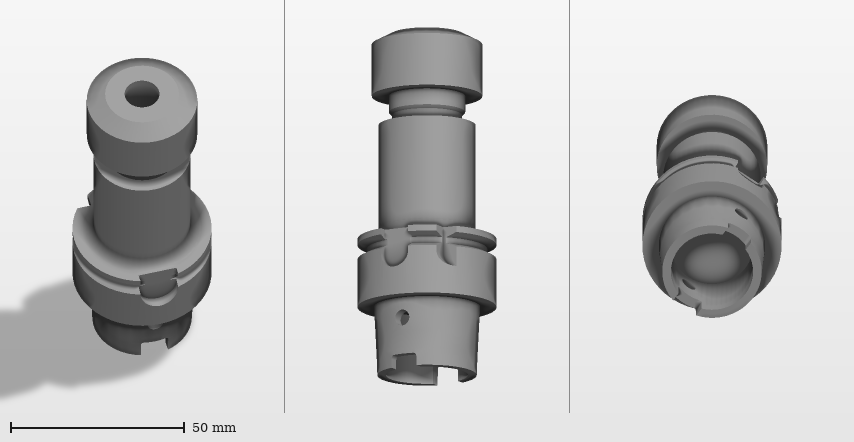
import cadquery as cq

total_height = 100.0

shank_height = 20.0
shank_bottom_radius = 14.3
shank_top_radius = 15.3
shank_bore_radius = 11.8
cross_hole_diameter = 4.6
cross_hole_z = 14.1
drive_slot_width = 8.1
left_drive_slot_height = 3.6
right_drive_slot_height = 6.0
drive_slot_corner_radius = 1.0

flange_radius = 20.0
flange_top_z = 40.0
groove_floor_radius = 17.4
groove_bottom_z = 34.0
groove_floor_bottom_z = 35.3
groove_floor_top_z = 37.0
groove_top_z = 38.2

notch_bottom_z = 28.2
side_notch_floor_x = 17.0
left_notch_width = 8.9
right_notch_width = 11.2
corner_notch_wall_x = -11.9
corner_notch_wall_y = -11.9
corner_notch_radius = 4.2

body_radius = 14.0
body_top_z = 73.4
body_fillet_radius = 3.0
lower_neck_radius = 10.1
upper_neck_radius = 11.0
neck_chamfer_height = upper_neck_radius - lower_neck_radius
neck_step_z = 76.4
nut_radius = 15.9
nut_bottom_z = 82.0
nut_cone_z = 97.2
nut_face_radius = 10.6
nut_bore_radius = 5.0
nut_bore_depth = 20.0


def turned_body():
    """Revolve the outer half profile about the Z axis."""
    fillet_outer_radius = body_radius + body_fillet_radius
    fillet_top_z = flange_top_z + body_fillet_radius
    profile = (
        cq.Workplane("XZ")
        .lineTo(shank_bottom_radius, 0)
        .lineTo(shank_top_radius, shank_height)
        .lineTo(flange_radius, shank_height)
        .lineTo(flange_radius, groove_bottom_z)
        .lineTo(groove_floor_radius, groove_floor_bottom_z)
        .lineTo(groove_floor_radius, groove_floor_top_z)
        .lineTo(flange_radius, groove_top_z)
        .lineTo(flange_radius, flange_top_z)
        .lineTo(fillet_outer_radius, flange_top_z)
        .radiusArc((body_radius, fillet_top_z), body_fillet_radius)
        .lineTo(body_radius, body_top_z)
        .lineTo(lower_neck_radius, body_top_z)
        .lineTo(lower_neck_radius, neck_step_z)
        .lineTo(upper_neck_radius, neck_step_z + neck_chamfer_height)
        .lineTo(upper_neck_radius, nut_bottom_z)
        .lineTo(nut_radius, nut_bottom_z)
        .lineTo(nut_radius, nut_cone_z)
        .lineTo(nut_face_radius, total_height)
        .lineTo(0, total_height)
        .close()
    )
    return profile.revolve(360, (0, 0, 0), (0, 1, 0))


def vertical_bore(radius, start_z, depth):
    return cq.Workplane("XY").workplane(offset=start_z).circle(radius).extrude(depth)


def round_bottom_notch(start_x, end_x, center_y, width):
    """Notch running along X with a half-round bottom, open at the flange top."""
    radius = width / 2
    arc_center_z = notch_bottom_z + radius
    outline = (
        cq.Workplane("YZ")
        .workplane(offset=start_x)
        .moveTo(center_y - radius, flange_top_z)
        .lineTo(center_y - radius, arc_center_z)
        .threePointArc((center_y, notch_bottom_z), (center_y + radius, arc_center_z))
        .lineTo(center_y + radius, flange_top_z)
        .close()
    )
    return outline.extrude(end_x - start_x)


def drive_slot(side, height):
    """Slot in the shank end from the axis outward; side is -1 or +1 along X."""
    slot = cq.Workplane("XY").box(flange_radius, drive_slot_width, height, centered=(True, True, False))
    slot = slot.edges("|X and >Z").fillet(drive_slot_corner_radius)
    return slot.translate((side * flange_radius / 2, 0, 0))


def cross_hole():
    return (
        cq.Workplane("YZ")
        .center(0, cross_hole_z)
        .circle(cross_hole_diameter / 2)
        .extrude(flange_radius, both=True)
    )


corner_notch_center_y = corner_notch_wall_y - corner_notch_radius

result = (
    turned_body()
    .cut(vertical_bore(shank_bore_radius, 0, shank_height))
    .cut(vertical_bore(nut_bore_radius, total_height - nut_bore_depth, nut_bore_depth))
    .cut(drive_slot(-1, left_drive_slot_height))
    .cut(drive_slot(1, right_drive_slot_height))
    .cut(cross_hole())
    .cut(round_bottom_notch(-flange_radius, -side_notch_floor_x, 0, left_notch_width))
    .cut(round_bottom_notch(side_notch_floor_x, flange_radius, 0, right_notch_width))
    .cut(round_bottom_notch(-flange_radius, corner_notch_wall_x, corner_notch_center_y, 2 * corner_notch_radius))
)